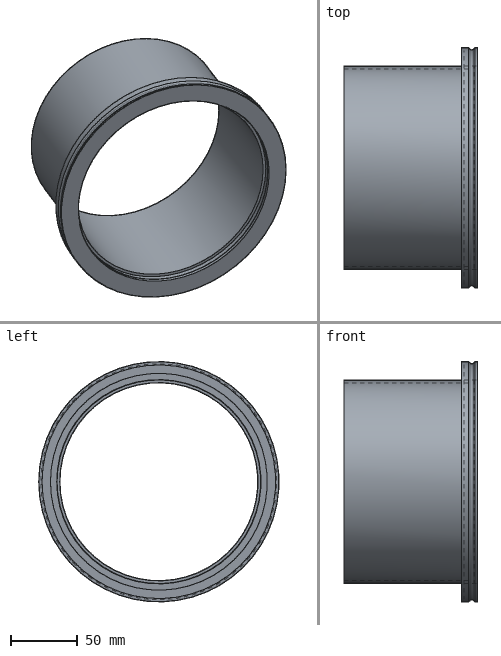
import cadquery as cq
import math

total_length = 100.0
flange_thickness = 12.0
flange_diameter = 180.0

tube_outer_diameter = 152.5
tube_bore_diameter = 148.1

flange_bore_diameter = tube_outer_diameter
front_step_diameter = 153.0
front_step_depth = 1.8
rear_step_diameter = 152.8
rear_step_depth = 2.7
tube_insertion = 5.4

recess_inner_diameter = 162.4
recess_outer_diameter = 175.0
recess_depth = 1.8

groove_start = 5.4
groove_width = 4.7
groove_flank = 1.0

flange_face = total_length / 2 - flange_thickness
tube_start = -total_length / 2
tube_length = total_length - flange_thickness + tube_insertion


def ring(start, length, outer_diameter, inner_diameter):
    """Ring around the X axis, growing towards +X from start."""
    return (
        cq.Workplane("YZ", origin=(start, 0, 0))
        .circle(outer_diameter / 2)
        .circle(inner_diameter / 2)
        .extrude(length)
    )


def rim_groove():
    """Rounded V section revolved around the X axis, open at the rim."""
    rim_radius = flange_diameter / 2
    left = flange_face + groove_start
    right = left + groove_width
    flank_radius = rim_radius - groove_flank
    arc_half_width = groove_width / 2 - groove_flank
    bottom_radius = flank_radius - arc_half_width * math.tan(math.radians(45 / 2))
    return (
        cq.Workplane("XY")
        .moveTo(left, rim_radius)
        .lineTo(left + groove_flank, flank_radius)
        .threePointArc((left + groove_width / 2, bottom_radius), (right - groove_flank, flank_radius))
        .lineTo(right, rim_radius)
        .close()
        .revolve(360, (0, 0, 0), (1, 0, 0))
    )


def make_tube():
    return ring(tube_start, tube_length, tube_outer_diameter, tube_bore_diameter)


def make_flange():
    body = ring(flange_face, flange_thickness, flange_diameter, flange_bore_diameter)
    front_step = ring(flange_face, front_step_depth, front_step_diameter, flange_bore_diameter)
    rear_step = ring(
        total_length / 2 - rear_step_depth, rear_step_depth, rear_step_diameter, flange_bore_diameter
    )
    recess = ring(flange_face, recess_depth, recess_outer_diameter, recess_inner_diameter)
    return body.cut(front_step).cut(rear_step).cut(recess).cut(rim_groove())


tube = make_tube()
flange = make_flange()
result = cq.Compound.makeCompound([tube.val(), flange.val()])